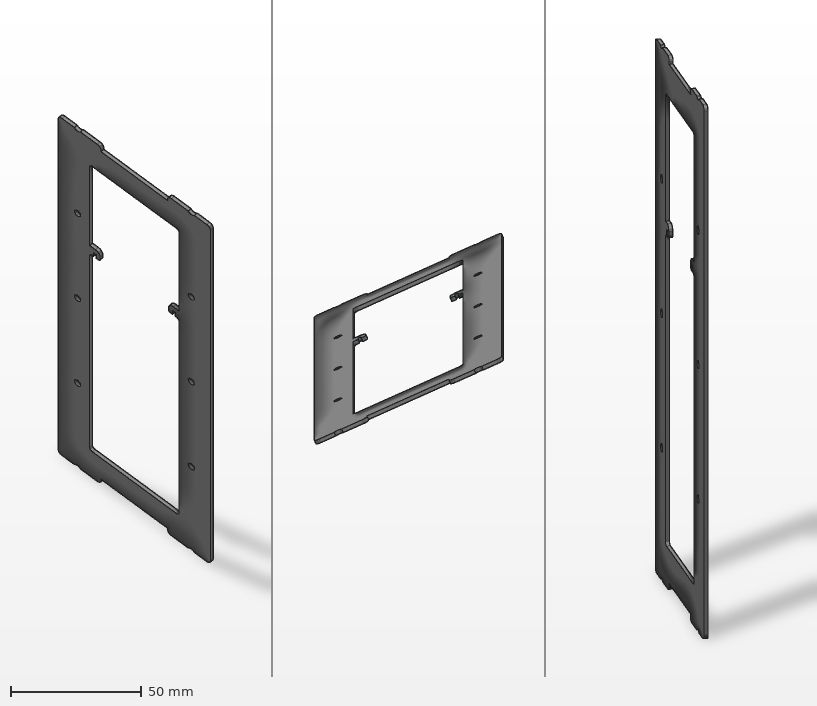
import cadquery as cq
import math

width = 79.2
thickness = 1.6
height = 218.4
corner_radius = 2.0

side_border = 16.4
end_border = 16.8
window_width = width - 2 * side_border
window_height = height - 2 * end_border
window_corner_radius = 1.5

recess_width = 34.6
recess_depth = 3.0
tab_inner_radius = 2.0

hole_diameter = 3.2
hole_edge_distance = 10.0
hole_x = width / 2 - hole_edge_distance
hole_pitch = 55.0
notch_radius = 2.0
notch_depth = 0.8

hook_top = 40.0
hook_reach = 5.4
hook_height = 5.2
hook_outer_radius = 2.5
hook_root_radius = 1.5
hook_tip_radius = 1.0
hook_overlap = 4.0
hook_slot_width = 1.3
hook_slot_depth = 2.2
hook_slot_offset = 2.7

SIDES = (-1, 1)


def box(size_x, size_z, x=0.0, z=0.0):
    """Block of plate thickness centred at (x, z)."""
    return cq.Workplane("XY").box(size_x, thickness, size_z).translate((x, 0, z))


def cylinder(radius, x, z):
    """Cylinder of plate thickness, along Y, centred at (x, z)."""
    disc = cq.Workplane("XZ").circle(radius).extrude(thickness / 2, both=True)
    return disc.translate((x, 0, z))


def make_frame():
    """Rounded plate with a window and a recess in each end."""
    frame = box(width, height).edges("|Y").fillet(corner_radius)
    for end in SIDES:
        frame = frame.cut(box(recess_width, 2 * recess_depth, z=end * height / 2))
    tab_corners = cq.selectors.BoxSelector(
        (-recess_width, -thickness, -height), (recess_width, thickness, height)
    )
    frame = frame.faces(">Z or <Z").edges("|Y").edges(tab_corners).fillet(tab_inner_radius)
    window = box(window_width, window_height).edges("|Y").fillet(window_corner_radius)
    return frame.cut(window)


def cut_holes(frame):
    """Two columns of three screw holes."""
    for side in SIDES:
        for row in (-1, 0, 1):
            frame = frame.cut(cylinder(hole_diameter / 2, side * hole_x, row * hole_pitch))
    return frame


def cut_end_notches(frame):
    """Shallow round notch in each of the four end tabs."""
    notch_z = height / 2 + notch_radius - notch_depth
    for side in SIDES:
        for end in SIDES:
            frame = frame.cut(cylinder(notch_radius, side * hole_x, end * notch_z))
    return frame


def make_left_hook():
    """Downward-opening hook on the left side of the window, with a filleted root."""
    root_x = -window_width / 2
    end_x = root_x + hook_reach
    bottom = hook_top - hook_height
    slot_left = root_x + hook_slot_offset - hook_slot_width / 2
    slot_right = slot_left + hook_slot_width
    slot_top = bottom + hook_slot_depth
    overlap_x = root_x - hook_overlap
    inset = 1 - math.sqrt(0.5)
    outer_mid = (end_x - hook_outer_radius * inset, hook_top - hook_outer_radius * inset)
    tip_mid = (end_x - hook_tip_radius * inset, bottom + hook_tip_radius * inset)
    root_mid = (root_x + hook_root_radius * inset, bottom - hook_root_radius * inset)
    return (
        cq.Workplane("XZ")
        .moveTo(overlap_x, hook_top)
        .lineTo(end_x - hook_outer_radius, hook_top)
        .threePointArc(outer_mid, (end_x, hook_top - hook_outer_radius))
        .lineTo(end_x, bottom + hook_tip_radius)
        .threePointArc(tip_mid, (end_x - hook_tip_radius, bottom))
        .lineTo(slot_right, bottom)
        .lineTo(slot_right, slot_top)
        .lineTo(slot_left, slot_top)
        .lineTo(slot_left, bottom)
        .lineTo(root_x + hook_root_radius, bottom)
        .threePointArc(root_mid, (root_x, bottom - hook_root_radius))
        .lineTo(overlap_x, bottom - hook_root_radius)
        .close()
        .extrude(thickness / 2, both=True)
    )


left_hook = make_left_hook()
right_hook = left_hook.mirror("YZ")
frame = cut_end_notches(cut_holes(make_frame()))
result = frame.union(left_hook).union(right_hook)